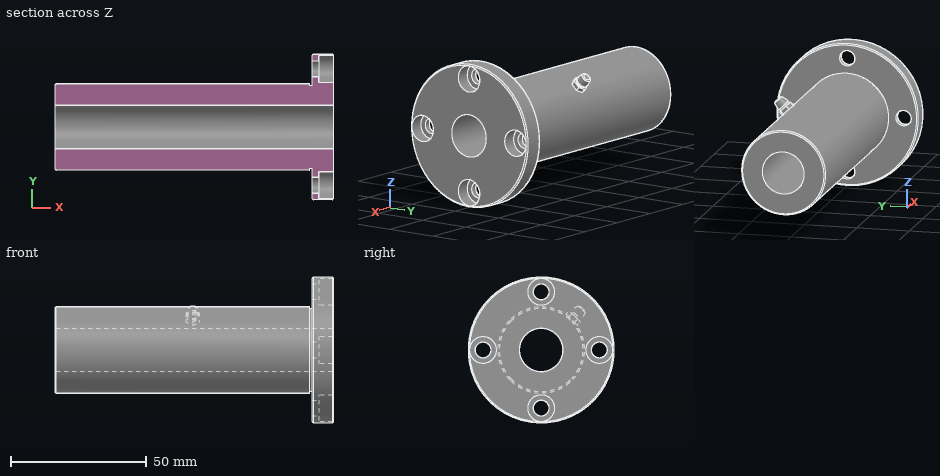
import cadquery as cq
import math

total_length = 103.0
flange_diameter = 54.0
flange_thickness = 8.0
flange_chamfer = 0.5
sleeve_diameter = 32.0
sleeve_chamfer = 0.5
bore_diameter = 16.0

neck_diameter = 30.8
neck_length = 0.8

bolt_hole_count = 4
bolt_circle_diameter = 43.0
bolt_hole_diameter = 5.8
counterbore_diameter = 9.9
counterbore_depth = 5.5

nipple_position = 51.0
nipple_angle = 45.0
nipple_root_height = 13.9
hex_across_flats = 5.0
hex_top_height = 17.6
nipple_neck_radius = 2.0
head_bottom_height = 18.3
head_radius = 2.4
head_cone_height = 19.1
head_shoulder_height = 21.2
head_shoulder_radius = 1.9
tip_height = 21.5
tip_radius = 1.2

flange_start = total_length - flange_thickness
sleeve_end = flange_start - neck_length


def rod(start, end, diameter):
    """Cylinder on the X axis between two X positions."""
    return cq.Workplane("YZ", origin=(start, 0, 0)).circle(diameter / 2).extrude(end - start)


def bolt_pattern(start, diameter):
    """Cylinders on the bolt circle, running from an X position to the flange back."""
    return (
        cq.Workplane("YZ", origin=(start, 0, 0))
        .polarArray(bolt_circle_diameter / 2, 0, 360, bolt_hole_count)
        .circle(diameter / 2)
        .extrude(total_length - start)
    )


def make_flange():
    flange = rod(flange_start, total_length, flange_diameter)
    flange = flange.faces("<X or >X").chamfer(flange_chamfer)
    holes = bolt_pattern(flange_start, bolt_hole_diameter)
    counterbores = bolt_pattern(total_length - counterbore_depth, counterbore_diameter)
    return flange.cut(holes).cut(counterbores)


def make_sleeve():
    sleeve = rod(0, sleeve_end, sleeve_diameter).faces("<X").chamfer(sleeve_chamfer)
    return sleeve.union(rod(sleeve_end, flange_start, neck_diameter))


def make_nipple():
    """Nipple built upright along Z, then leaned over and moved along the sleeve."""
    hex_corner_diameter = hex_across_flats / math.cos(math.pi / 6)
    hexagon = (
        cq.Workplane("XY", origin=(0, 0, nipple_root_height))
        .polygon(6, hex_corner_diameter)
        .extrude(hex_top_height - nipple_root_height)
        .rotate((0, 0, 0), (0, 0, 1), 90)
    )
    head = (
        cq.Workplane("XZ")
        .moveTo(0, nipple_root_height)
        .lineTo(nipple_neck_radius, nipple_root_height)
        .lineTo(nipple_neck_radius, head_bottom_height)
        .lineTo(head_radius, head_bottom_height)
        .lineTo(head_radius, head_cone_height)
        .lineTo(head_shoulder_radius, head_shoulder_height)
        .lineTo(tip_radius, tip_height)
        .lineTo(0, tip_height)
        .close()
        .revolve(360, (0, 0, 0), (0, 1, 0))
    )
    nipple = hexagon.union(head).rotate((0, 0, 0), (1, 0, 0), -nipple_angle)
    return nipple.translate((nipple_position, 0, 0))


bore = rod(0, total_length, bore_diameter)
result = make_sleeve().union(make_flange()).union(make_nipple()).cut(bore)